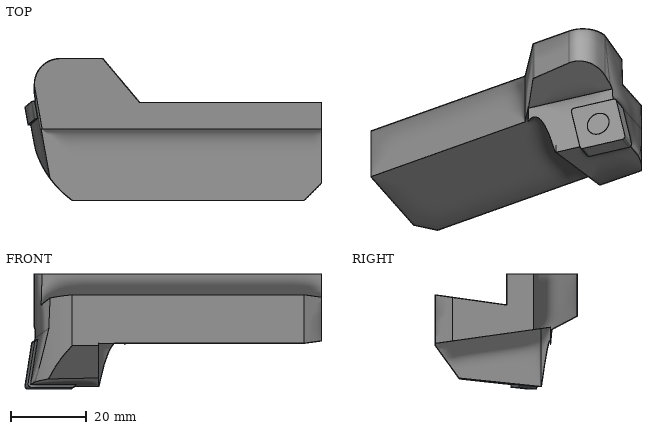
import cadquery as cq
import math


length = 78.48
height = 30.5
shank_width = 26.0
head_width = 37.6
cutter_size = 200.0

head_front_x = 2.45
head_corner_radius = 6.9
head_end_x = 20.6
head_edge_round = 0.6
head_slope_angle = 50.0
end_chamfer = 4.6
nose_start_x = 12.5
nose_middle = (6.55, 5.95)
nose_end = (2.75, 13.5)
tip_side = (0.0, 27.9)

step_y = 18.93
step_z = 22.3
shank_bottom_z = 12.1
wedge_angle = 8.0

yaw_angle = 10.0
front_tilt_angle = 1.8
front_top_y = 30.8

block_end_x = 19.4
undercut_start = (block_end_x, 28.0)
undercut_middle = (22.0, 29.48)
undercut_end = (27.0, 30.55)
slant_top_z = 11.53
slant_foot = (6.45, 2.64)
head_bottom_angle = 25.0
head_bottom_point = (3.2, 26.7, 15.7)

inscribed_diameter = 12.7
insert_thickness = 4.76
insert_angle = 80.0
insert_nose_radius = 0.8
insert_corner = (-0.14, 24.57, 0.0)
rake_tilt_angle = 6.0
insert_overhang = 0.7
screw_head_diameter = 6.2
screw_diameter = 4.6


def sin(angle):
    return math.sin(math.radians(angle))


def cos(angle):
    return math.cos(math.radians(angle))


def tan(angle):
    return math.tan(math.radians(angle))


def beyond(point, normal):
    """Large block filling the space on the side of a plane that its normal points to."""
    trim_plane = cq.Plane(origin=point, normal=normal)
    return cq.Workplane(trim_plane).rect(cutter_size, cutter_size).extrude(cutter_size)


into_holder = (
    sin(yaw_angle) * cos(rake_tilt_angle),
    -cos(yaw_angle) * cos(rake_tilt_angle),
    sin(rake_tilt_angle),
)
rake_plane = cq.Plane(
    origin=insert_corner,
    xDir=(cos(yaw_angle), sin(yaw_angle), 0),
    normal=into_holder,
)
insert_side = inscribed_diameter / sin(insert_angle)
insert_shift_x = insert_side * cos(insert_angle)
insert_center = ((insert_side + insert_shift_x) / 2, inscribed_diameter / 2)


def rake_direction(x, y):
    """Global direction of a vector that lies in the rake face."""
    return rake_plane.xDir * x + rake_plane.yDir * y


def make_screw():
    """Countersunk screw that fills the insert hole, flush with the rake face; part of the holder."""
    taper_depth = (screw_head_diameter - screw_diameter) / 2
    return (
        cq.Workplane("XY")
        .polyline([
            (0, 0),
            (screw_head_diameter / 2, 0),
            (screw_diameter / 2, taper_depth),
            (screw_diameter / 2, insert_thickness),
            (0, insert_thickness),
        ])
        .close()
        .revolve(360, (0, 0), (0, 1))
        .rotate((0, 0, 0), (1, 0, 0), 90)
        .translate((*insert_center, 0))
        .val()
        .moved(cq.Location(rake_plane))
    )


def make_insert_blank():
    """Rhombic insert with rounded corners, without its hole."""
    return (
        cq.Workplane(rake_plane)
        .polyline([
            (0, 0),
            (insert_side, 0),
            (insert_side + insert_shift_x, inscribed_diameter),
            (insert_shift_x, inscribed_diameter),
        ])
        .close()
        .extrude(insert_thickness)
        .edges(cq.selectors.ParallelDirSelector(cq.Vector(*into_holder)))
        .fillet(insert_nose_radius)
    )


def make_plan_body():
    """Full-height body with the outline of the holder seen from above."""
    head_slope_x = head_end_x + (head_width - shank_width) / tan(head_slope_angle)
    corner_x = head_front_x + head_corner_radius
    corner_y = head_width - head_corner_radius
    corner_middle = (
        corner_x - head_corner_radius * cos(45),
        corner_y + head_corner_radius * sin(45),
    )
    body = (
        cq.Workplane("XY")
        .moveTo(nose_start_x, 0)
        .lineTo(length - end_chamfer, 0)
        .lineTo(length, end_chamfer)
        .lineTo(length, shank_width)
        .lineTo(head_slope_x, shank_width)
        .lineTo(head_end_x, head_width)
        .lineTo(corner_x, head_width)
        .threePointArc(corner_middle, (head_front_x, corner_y))
        .lineTo(head_front_x, tip_side[1])
        .lineTo(*tip_side)
        .lineTo(*nose_end)
        .threePointArc(nose_middle, (nose_start_x, 0))
        .close()
        .extrude(height)
    )
    head_edge = cq.selectors.NearestToPointSelector((head_end_x, head_width, height / 2))
    return body.edges(head_edge).fillet(head_edge_round)


def make_step():
    """Space above the wedge-shaped shoulder."""
    return (
        cq.Workplane("YZ")
        .polyline([
            (step_y, height),
            (step_y, step_z),
            (0, step_z + step_y * tan(wedge_angle)),
            (0, height),
        ])
        .close()
        .extrude(length)
    )


def make_undercut():
    """Space under the shank, behind the tool block, with a curved inner wall."""
    inner_y = undercut_end[1]
    plan = (
        cq.Workplane("XY")
        .moveTo(block_end_x, 0)
        .lineTo(*undercut_start)
        .threePointArc(undercut_middle, undercut_end)
        .lineTo(length, inner_y)
        .lineTo(length, 0)
        .close()
        .extrude(height)
    )
    below_shank = (
        cq.Workplane("YZ")
        .polyline([
            (0, 0),
            (0, shank_bottom_z),
            (inner_y, shank_bottom_z + inner_y * tan(wedge_angle)),
            (inner_y, 0),
        ])
        .close()
        .extrude(length)
    )
    return plan.intersect(below_shank)


def make_rake_clearance():
    """Space in front of the rake face and below the sloping underside of the head."""
    below_head = beyond(
        head_bottom_point,
        (
            -sin(head_bottom_angle) * sin(yaw_angle),
            sin(head_bottom_angle) * cos(yaw_angle),
            -cos(head_bottom_angle),
        ),
    )
    return beyond(insert_corner, (-rake_plane.zDir).toTuple()).intersect(below_head)


def make_holder():
    front_normal = (
        -cos(yaw_angle) * cos(front_tilt_angle),
        -sin(yaw_angle) * cos(front_tilt_angle),
        sin(front_tilt_angle),
    )
    front_face = beyond((head_front_x, front_top_y, height), front_normal)

    insert_origin = cq.Vector(*insert_corner)
    flank_inward = rake_direction(sin(insert_angle), -cos(insert_angle))
    bottom_inward = rake_direction(0, 1)
    front_relief = beyond(insert_origin + flank_inward * insert_overhang, -flank_inward)
    bottom_relief = beyond(insert_origin + bottom_inward * insert_overhang, -bottom_inward)

    slant_y, slant_z = slant_foot
    slanted_wall = beyond((0, 0, slant_top_z), (0, slant_z - slant_top_z, -slant_y))

    return (
        make_plan_body()
        .cut(make_step())
        .cut(make_undercut())
        .cut(make_rake_clearance())
        .cut(front_face.intersect(front_relief))
        .cut(bottom_relief)
        .cut(slanted_wall)
        .cut(make_insert_blank())
        .union(cq.Workplane(screw))
        .solids()
    )


screw = make_screw()
insert = make_insert_blank().cut(cq.Workplane(screw)).solids()
holder = make_holder()

result = cq.Compound.makeCompound([holder.val(), insert.val()])